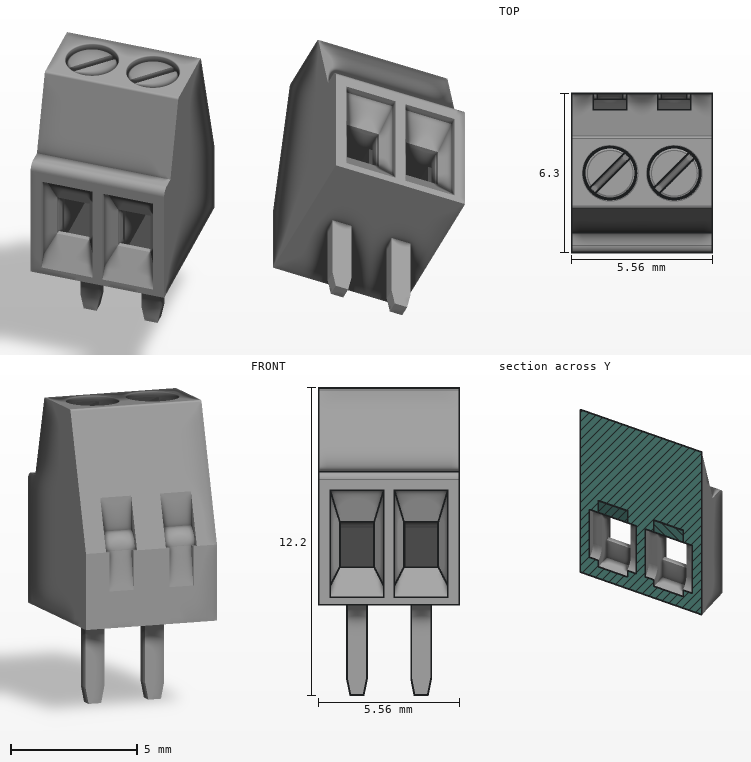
import cadquery as cq
import math


POLE_COUNT = 2
PITCH = 2.54
TOTAL_HEIGHT = 12.15
WIDTH = 5.56
DEPTH = 6.3
HOUSING_HEIGHT = 8.58
FRONT_Y = -DEPTH / 2
BACK_Y = DEPTH / 2

BACK_WALL_HEIGHT = 3.06
LEDGE_HEIGHT = 5.27
LEDGE_DEPTH = 0.79
TOP_FRONT_SETBACK = 1.79
TOP_BACK_SETBACK = 1.7
LEDGE_FILLET = 0.3
TOP_FILLET = 0.1

ENTRY_WIDTH = 2.11
ENTRY_BOTTOM = 0.3
ENTRY_TOP = 4.53
ENTRY_STRAIGHT_DEPTH = 0.3
FUNNEL_DEPTH = 0.8
THROAT_WIDTH = 1.36
THROAT_BOTTOM = 1.5
THROAT_TOP = 3.28
THROAT_END_DEPTH = 1.0

CONTACT_WIDTH = 1.31
CONTACT_INNER_RADIUS = 0.21
CONTACT_OUTER_RADIUS = 0.8
CONTACT_THICKNESS = CONTACT_OUTER_RADIUS - CONTACT_INNER_RADIUS
CONTACT_BEND_Z = 3.09
CONTACT_TOP = CONTACT_BEND_Z + CONTACT_OUTER_RADIUS
CONTACT_UNDERSIDE = CONTACT_BEND_Z + CONTACT_INNER_RADIUS
BACK_WALL_THICKNESS = 0.23
CONTACT_FRONT_Y = FRONT_Y + THROAT_END_DEPTH
CONTACT_BACK_Y = BACK_Y - BACK_WALL_THICKNESS

CHAMBER_FLOOR = 0.61
RELIEF_FRONT_DEPTH = 1.4
RELIEF_LENGTH = 0.34
RELIEF_WIDTH = 2.11
RELIEF_ROUND_DIAMETER = 1.2
RELIEF_ROUND_TOP = 1.42

WINDOW_DEPTH = 0.65
WINDOW_FLOOR = BACK_WALL_HEIGHT
GROOVE_WIDTH = 1.01
GROOVE_DROP = 1.58

SCREW_DIAMETER = 2.0
SCREW_EDGE_FILLET = 0.1
SCREW_RECESS = 0.2
SLOT_WIDTH = 0.3
SLOT_DEPTH = 0.4
SLOT_ANGLE = 45.0
BORE_DIAMETER = 2.1
BORE_RIM_FILLET = 0.05

PIN_WIDTH = 0.8
PIN_THICKNESS = 0.5
PIN_TIP_WIDTH = 0.53
PIN_TIP_LENGTH = 0.67
PIN_END = HOUSING_HEIGHT - TOTAL_HEIGHT

POLE_XS = [(i - (POLE_COUNT - 1) / 2) * PITCH for i in range(POLE_COUNT)]


def side_plate(points, width):
    """Closed outline of (y, z) points, extruded evenly to both sides of X = 0."""
    return cq.Workplane("YZ").polyline(points).close().extrude(width / 2, both=True)


def block(width, y_start, y_end, z_start, z_end):
    """Rectangular block centred on X = 0."""
    size = (width, y_end - y_start, z_end - z_start)
    return cq.Workplane("XY").box(*size, centered=(True, False, False)).translate((0, y_start, z_start))


def make_housing_shell():
    shell = side_plate(
        [
            (FRONT_Y, 0),
            (BACK_Y, 0),
            (BACK_Y, BACK_WALL_HEIGHT),
            (BACK_Y - TOP_BACK_SETBACK, HOUSING_HEIGHT),
            (FRONT_Y + TOP_FRONT_SETBACK, HOUSING_HEIGHT),
            (FRONT_Y + LEDGE_DEPTH, LEDGE_HEIGHT),
            (FRONT_Y, LEDGE_HEIGHT),
        ],
        WIDTH,
    )
    shell = shell.faces(">Z").edges("|X").fillet(TOP_FILLET)
    return shell.faces("<Y").edges(">Z").fillet(LEDGE_FILLET)


def wire_entry():
    """Funnel and throat: a side outline and a plan outline, intersected."""
    straight_y = FRONT_Y + ENTRY_STRAIGHT_DEPTH
    funnel_y = FRONT_Y + FUNNEL_DEPTH
    throat_y = FRONT_Y + THROAT_END_DEPTH
    side = side_plate(
        [
            (FRONT_Y, ENTRY_BOTTOM),
            (funnel_y, THROAT_BOTTOM),
            (throat_y, THROAT_BOTTOM),
            (throat_y, THROAT_TOP),
            (funnel_y, THROAT_TOP),
            (straight_y, ENTRY_TOP),
            (FRONT_Y, ENTRY_TOP),
        ],
        ENTRY_WIDTH,
    )
    half_entry = ENTRY_WIDTH / 2
    half_throat = THROAT_WIDTH / 2
    right_side = [
        (half_entry, FRONT_Y),
        (half_entry, straight_y),
        (half_throat, funnel_y),
        (half_throat, throat_y),
    ]
    left_side = [(-x, y) for x, y in reversed(right_side)]
    plan = cq.Workplane("XY").polyline(right_side + left_side).close().extrude(HOUSING_HEIGHT)
    return side.intersect(plan)


def wire_chamber():
    """Space for the wire and the contact; its upper back edge follows the contact bend."""
    chamber = block(CONTACT_WIDTH, CONTACT_FRONT_Y, CONTACT_BACK_Y, CHAMBER_FLOOR, CONTACT_TOP)
    return chamber.faces(">Y").edges(">Z").fillet(CONTACT_OUTER_RADIUS)


def chamber_relief():
    """Widening of the chamber whose lower front is a concave round."""
    radius = RELIEF_ROUND_DIAMETER / 2
    front = FRONT_Y + RELIEF_FRONT_DEPTH
    back = front + RELIEF_LENGTH
    sweep = math.acos(1 - RELIEF_LENGTH / radius)

    def round_point(angle):
        return (front + radius * (1 - math.cos(angle)), RELIEF_ROUND_TOP - radius * math.sin(angle))

    outline = (
        cq.Workplane("YZ")
        .moveTo(front, CONTACT_UNDERSIDE)
        .lineTo(front, RELIEF_ROUND_TOP)
        .threePointArc(round_point(sweep / 2), round_point(sweep))
        .lineTo(back, CONTACT_UNDERSIDE)
        .close()
    )
    return outline.extrude(RELIEF_WIDTH / 2, both=True)


def back_window():
    window = block(CONTACT_WIDTH, BACK_Y - WINDOW_DEPTH, BACK_Y, WINDOW_FLOOR, HOUSING_HEIGHT)
    groove = side_plate(
        [
            (CONTACT_BACK_Y, WINDOW_FLOOR),
            (BACK_Y, WINDOW_FLOOR),
            (BACK_Y, WINDOW_FLOOR - GROOVE_DROP),
        ],
        GROOVE_WIDTH,
    )
    return window.union(groove)


def screw_bore():
    bore_depth = HOUSING_HEIGHT - CONTACT_TOP
    return cq.Workplane("XY").workplane(offset=CONTACT_TOP).circle(BORE_DIAMETER / 2).extrude(bore_depth)


def pin_hole():
    return block(PIN_WIDTH, -PIN_THICKNESS / 2, PIN_THICKNESS / 2, 0, CHAMBER_FLOOR)


def make_housing():
    body = make_housing_shell()
    cutters = [wire_entry(), wire_chamber(), chamber_relief(), back_window(), screw_bore(), pin_hole()]
    for x in POLE_XS:
        for cutter in cutters:
            body = body.cut(cutter.translate((x, 0, 0)))
    return body.faces(">Z").edges("%CIRCLE").fillet(BORE_RIM_FILLET)


def make_contact(x):
    """Flat run under the screw, turned down into a leg at the back of the chamber."""
    inner_space = block(
        CONTACT_WIDTH,
        CONTACT_FRONT_Y,
        CONTACT_BACK_Y - CONTACT_THICKNESS,
        CHAMBER_FLOOR,
        CONTACT_UNDERSIDE,
    )
    inner_space = inner_space.faces(">Y").edges(">Z").fillet(CONTACT_INNER_RADIUS)
    return wire_chamber().cut(inner_space).translate((x, 0, 0))


def make_screw(x):
    screw_top = HOUSING_HEIGHT - SCREW_RECESS
    screw = cq.Workplane("XY").workplane(offset=CONTACT_TOP).circle(SCREW_DIAMETER / 2)
    screw = screw.extrude(screw_top - CONTACT_TOP).faces(">Z").edges().fillet(SCREW_EDGE_FILLET)
    slot = cq.Workplane("XY").workplane(offset=screw_top).transformed(rotate=(0, 0, SLOT_ANGLE))
    slot = slot.rect(2 * SCREW_DIAMETER, SLOT_WIDTH).extrude(-SLOT_DEPTH)
    return screw.cut(slot).translate((x, 0, 0))


def make_pin(x):
    half_width = PIN_WIDTH / 2
    half_tip = PIN_TIP_WIDTH / 2
    taper_z = PIN_END + PIN_TIP_LENGTH
    right_side = [
        (half_width, CHAMBER_FLOOR),
        (half_width, taper_z),
        (half_tip, PIN_END),
    ]
    left_side = [(-px, pz) for px, pz in reversed(right_side)]
    outline = cq.Workplane("XZ").polyline(right_side + left_side).close()
    return outline.extrude(PIN_THICKNESS / 2, both=True).translate((x, 0, 0))


housing = make_housing()
contacts = [make_contact(x) for x in POLE_XS]
screws = [make_screw(x) for x in POLE_XS]
pins = [make_pin(x) for x in POLE_XS]

result = cq.Compound.makeCompound([housing.val(), *[body.val() for body in contacts + screws + pins]])